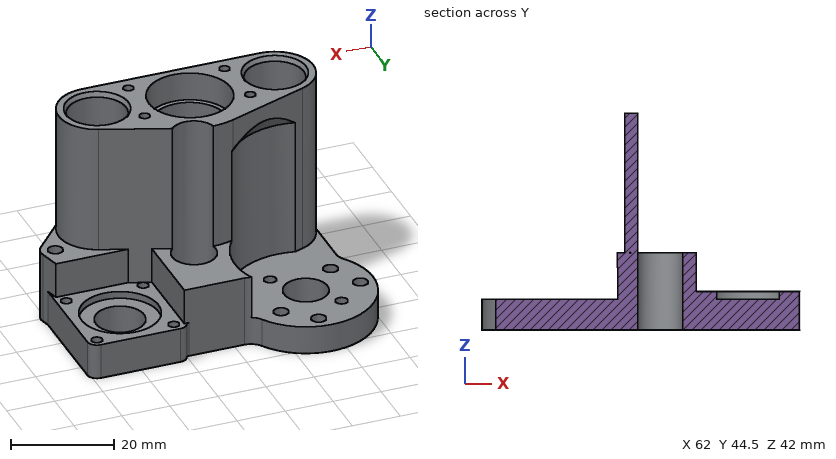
import cadquery as cq
import math


PLATE_TOP = 6.0
PAD_TOP = 7.5
BLOCK_TOP = 15.0
CLEARANCE_TOP = 35.0
TOWER_TOP = 42.0

END_R = 8.0
BORE_PITCH = 18.5
LEFT_BORE = (END_R, END_R)
MAIN_BORE = (END_R + BORE_PITCH, 10.0)
RIGHT_BORE = (END_R + 2 * BORE_PITCH, END_R)
MAIN_WALL_R = 12.5
SIDE_BORE_D = 12.0
SIDE_MOUTH_D = 13.0
SIDE_MOUTH_DEPTH = 1.0
MAIN_BORE_D = 15.0
MAIN_COUNTERBORE_D = 17.0
MAIN_COUNTERBORE_DEPTH = 6.0
COVER_HOLE_D = 2.1
COVER_HOLE_DEPTH = 10.0
REAR_COVER_HOLES = (11.0, 14.0)
FRONT_COVER_HOLES = (10.0, 3.0)
RELIEF_HOLE = (31.0, 23.5)
RELIEF_HOLE_D = 9.0

DISC_CENTER = (10.5, 30.5)
DISC_R = 14.0
DISC_BORE_D = 9.0
DISC_BLEND_R = 3.5
CLEARANCE_R = 14.75
CLEARANCE_CONE_ANGLE = 35.0
CLEARANCE_CONE_HEIGHT = 6.0
DISC_AXIS_ANGLE = 128.0
DISC_HOLES = [
    (8.0, 0.0, 2.5),
    (8.0, 180.0, 2.5),
    (9.5, 90.0, 3.0),
    (9.5, -90.0, 3.0),
    (11.0, 46.6, 3.0),
    (11.0, -46.6, 3.0),
]

PAD_CENTER = (48.0, 27.5)
PAD_SIDE = 20.0
PAD_CORNER_R = 2.0
PAD_BLEND_R = 0.5
PAD_OVERLAP = 0.6
PAD_BORE_D = 10.0
PAD_RECESS_D = 16.0
PAD_RECESS_DEPTH = 1.5
PAD_HOLE_PITCH = 16.0
PAD_HOLE_D = 2.2
POCKET_OVERRUN = 5.0
PAD_LEFT = PAD_CENTER[0] - PAD_SIDE / 2
PAD_RIGHT = PAD_CENTER[0] + PAD_SIDE / 2
PAD_FRONT = PAD_CENTER[1] - PAD_SIDE / 2
PAD_BACK = PAD_CENTER[1] + PAD_SIDE / 2

BLOCK_BACK = 36.0
EAR_CENTER = (55.5, 12.5)
EAR_R = 3.0
EAR_HOLE_D = 3.0
EAR_SIDE_ANGLE = 13.5


def polar(center, radius, angle):
    """Point at a radius and an angle in degrees about a center."""
    a = math.radians(angle)
    return (center[0] + radius * math.cos(a), center[1] + radius * math.sin(a))


def heading(start, end):
    """Direction in degrees from one point to another."""
    return math.degrees(math.atan2(end[1] - start[1], end[0] - start[0]))


def tangent_angle(c1, r1, c2, r2):
    """Angle of the contact points of the outer tangent on the right of the way from c1 to c2.

    The contact points lie at the same angle on both circles.
    """
    spread = math.degrees(math.acos((r1 - r2) / math.dist(c1, c2)))
    return heading(c1, c2) - spread


def arc(sketch, center, radius, start, end):
    """Arc from the current point, which lies at the start angle."""
    middle = polar(center, radius, (start + end) / 2)
    return sketch.threePointArc(middle, polar(center, radius, end))


def line_and_arc(sketch, center, radius, start, end):
    """Line to the start of an arc, then the arc itself."""
    return arc(sketch.lineTo(*polar(center, radius, start)), center, radius, start, end)


def cylinder(center, diameter, bottom, top):
    plane = cq.Workplane("XY", origin=(center[0], center[1], bottom))
    return plane.circle(diameter / 2).extrude(top - bottom)


def base_outline():
    """Closed outline shared by the plate, the motor pad, the ear and the block."""
    ear_angle = tangent_angle(RIGHT_BORE, END_R, EAR_CENTER, EAR_R)
    ear_side = polar(EAR_CENTER, EAR_R, EAR_SIDE_ANGLE)
    ear_rise = (ear_side[0] - PAD_RIGHT) / math.tan(math.radians(EAR_SIDE_ANGLE))

    back_right = (PAD_RIGHT - PAD_CORNER_R, PAD_BACK - PAD_CORNER_R)
    back_left = (PAD_LEFT - PAD_OVERLAP + PAD_CORNER_R, PAD_BACK - PAD_CORNER_R)

    pad_blend_y = BLOCK_BACK + PAD_BLEND_R
    pad_blend_dx = math.sqrt((PAD_CORNER_R + PAD_BLEND_R) ** 2 - (pad_blend_y - back_left[1]) ** 2)
    pad_blend = (back_left[0] - pad_blend_dx, pad_blend_y)
    pad_blend_angle = heading(back_left, pad_blend)

    blend_reach = DISC_R + DISC_BLEND_R
    back_blend_y = BLOCK_BACK + DISC_BLEND_R
    back_blend_dx = math.sqrt(blend_reach ** 2 - (back_blend_y - DISC_CENTER[1]) ** 2)
    back_blend = (DISC_CENTER[0] + back_blend_dx, back_blend_y)
    back_blend_angle = heading(DISC_CENTER, back_blend)
    side_blend_dy = math.sqrt(blend_reach ** 2 - (DISC_CENTER[0] + DISC_BLEND_R) ** 2)
    side_blend = (-DISC_BLEND_R, DISC_CENTER[1] - side_blend_dy)
    side_blend_angle = heading(DISC_CENTER, side_blend) + 360

    outline = cq.Workplane("XY").moveTo(0, side_blend[1])
    outline = line_and_arc(outline, LEFT_BORE, END_R, 180, 270)
    outline = line_and_arc(outline, RIGHT_BORE, END_R, -90, ear_angle)
    outline = line_and_arc(outline, EAR_CENTER, EAR_R, ear_angle, EAR_SIDE_ANGLE)
    outline = outline.lineTo(PAD_RIGHT, ear_side[1] + ear_rise)
    outline = line_and_arc(outline, back_right, PAD_CORNER_R, 0, 90)
    outline = line_and_arc(outline, back_left, PAD_CORNER_R, 90, pad_blend_angle)
    outline = arc(outline, pad_blend, PAD_BLEND_R, pad_blend_angle - 180, -90)
    outline = line_and_arc(outline, back_blend, DISC_BLEND_R, 270, back_blend_angle + 180)
    outline = arc(outline, DISC_CENTER, DISC_R, back_blend_angle, side_blend_angle)
    outline = arc(outline, side_blend, DISC_BLEND_R, side_blend_angle - 180, 0)
    return outline.close()


def pad_pocket():
    """Space above the pad and its overlap, bounded on the right by the ear's side."""
    ear_side = polar(EAR_CENTER, EAR_R, EAR_SIDE_ANGLE)
    lean = math.tan(math.radians(EAR_SIDE_ANGLE))
    front_right = (ear_side[0] - (PAD_FRONT - ear_side[1]) * lean, PAD_FRONT)
    far_left = PAD_LEFT - POCKET_OVERRUN
    far_right = PAD_RIGHT + POCKET_OVERRUN
    far_back = PAD_BACK + POCKET_OVERRUN
    pocket = cq.Workplane("XY", origin=(0, 0, PAD_TOP)).moveTo(PAD_LEFT, PAD_FRONT)
    pocket = pocket.lineTo(*front_right).lineTo(*ear_side).lineTo(far_right, ear_side[1])
    pocket = pocket.lineTo(far_right, far_back).lineTo(far_left, far_back)
    pocket = pocket.lineTo(far_left, BLOCK_BACK).lineTo(PAD_LEFT, BLOCK_BACK)
    return pocket.close().extrude(BLOCK_TOP - PAD_TOP)


def flange_side():
    """Space above the plate behind the left bore, where the block does not reach."""
    left = DISC_CENTER[0] - DISC_R
    back = DISC_CENTER[1] + DISC_R
    return (
        cq.Workplane("XY", origin=(left, LEFT_BORE[1], PLATE_TOP))
        .rect(DISC_R, back - LEFT_BORE[1], centered=False)
        .extrude(BLOCK_TOP - PLATE_TOP)
    )


def tower():
    """Full-height body wrapped around the three bores."""
    contact = tangent_angle(MAIN_BORE, MAIN_WALL_R, LEFT_BORE, END_R) + 360
    outline = cq.Workplane("XY").moveTo(LEFT_BORE[0], 0)
    outline = line_and_arc(outline, RIGHT_BORE, END_R, -90, 180 - contact)
    outline = line_and_arc(outline, MAIN_BORE, MAIN_WALL_R, 180 - contact, contact)
    outline = line_and_arc(outline, LEFT_BORE, END_R, contact, 270)
    return outline.close().extrude(TOWER_TOP)


def disc_clearance():
    """Cylindrical space above the round flange, narrowing in a cone at the top."""
    cone_top_r = CLEARANCE_R - CLEARANCE_CONE_HEIGHT * math.tan(math.radians(CLEARANCE_CONE_ANGLE))
    profile = (
        cq.Workplane("XZ", origin=(DISC_CENTER[0], DISC_CENTER[1], 0))
        .moveTo(0, PLATE_TOP)
        .lineTo(CLEARANCE_R, PLATE_TOP)
        .lineTo(CLEARANCE_R, CLEARANCE_TOP)
        .lineTo(cone_top_r, CLEARANCE_TOP + CLEARANCE_CONE_HEIGHT)
        .lineTo(0, CLEARANCE_TOP + CLEARANCE_CONE_HEIGHT)
        .close()
    )
    return profile.revolve(360, (0, 0, 0), (0, 1, 0))


def side_bore(center):
    """Through bore with a short tapered mouth at the top."""
    mouth = (
        cq.Workplane("XY", origin=(center[0], center[1], TOWER_TOP - SIDE_MOUTH_DEPTH))
        .circle(SIDE_BORE_D / 2)
        .workplane(offset=SIDE_MOUTH_DEPTH)
        .circle(SIDE_MOUTH_D / 2)
        .loft()
    )
    return cylinder(center, SIDE_BORE_D, 0, TOWER_TOP).union(mouth)


def cut_tower_holes(body):
    body = body.cut(side_bore(LEFT_BORE)).cut(side_bore(RIGHT_BORE))
    body = body.cut(cylinder(MAIN_BORE, MAIN_BORE_D, 0, TOWER_TOP))
    counterbore_floor = TOWER_TOP - MAIN_COUNTERBORE_DEPTH
    body = body.cut(cylinder(MAIN_BORE, MAIN_COUNTERBORE_D, counterbore_floor, TOWER_TOP))
    body = body.cut(cylinder(RELIEF_HOLE, RELIEF_HOLE_D, 0, TOWER_TOP))
    for offset, y in (REAR_COVER_HOLES, FRONT_COVER_HOLES):
        for side in (-1, 1):
            center = (MAIN_BORE[0] + side * offset, y)
            body = body.cut(cylinder(center, COVER_HOLE_D, TOWER_TOP - COVER_HOLE_DEPTH, TOWER_TOP))
    return body


def cut_disc_holes(body):
    body = body.cut(cylinder(DISC_CENTER, DISC_BORE_D, 0, PLATE_TOP))
    for radius, angle, diameter in DISC_HOLES:
        center = polar(DISC_CENTER, radius, DISC_AXIS_ANGLE + angle)
        body = body.cut(cylinder(center, diameter, 0, PLATE_TOP))
    return body


def cut_pad_holes(body):
    body = body.cut(cylinder(PAD_CENTER, PAD_BORE_D, 0, PAD_TOP))
    body = body.cut(cylinder(PAD_CENTER, PAD_RECESS_D, PAD_TOP - PAD_RECESS_DEPTH, PAD_TOP))
    for dx in (-PAD_HOLE_PITCH / 2, PAD_HOLE_PITCH / 2):
        for dy in (-PAD_HOLE_PITCH / 2, PAD_HOLE_PITCH / 2):
            center = (PAD_CENTER[0] + dx, PAD_CENTER[1] + dy)
            body = body.cut(cylinder(center, PAD_HOLE_D, 0, PAD_TOP))
    return body


plate = base_outline().extrude(PLATE_TOP)
block = base_outline().extrude(BLOCK_TOP).cut(pad_pocket()).cut(flange_side())
body = plate.union(block).union(tower()).cut(disc_clearance())
body = cut_tower_holes(body)
body = cut_disc_holes(body)
body = cut_pad_holes(body)
result = body.cut(cylinder(EAR_CENTER, EAR_HOLE_D, 0, BLOCK_TOP))